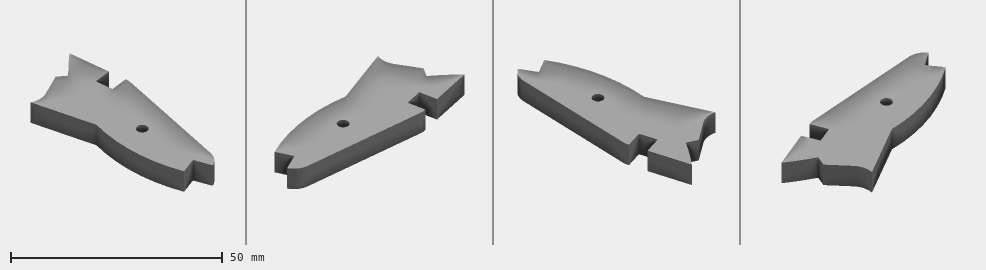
import cadquery as cq
import math

length = 53.95
width = 23.1
thickness = 6.0

upper_edge_tilt = -1.8
slot_distance = 11.85
slot_size = 5.0
slot_shoulder = 0.3

notch_corner = (48.9, 5.9)
notch_tilt = 11.5
notch_lower_side = 5.0

tail_tip = (0, width)
tail_edge_middle = (2.45, 19.45)
tail_inner_corner = (5.25, 15.8)
tail_outer_corner = (2.95, 13.55)
heel_arc_start = (5.05, 6.8)
heel_arc_middle = (5.35, 4.75)
heel_tip = (4.3, 1.8)

back_start = (18.25, 22.4)
back_end = (50.6, 10.6)
nose_arc_middle = (52.7, 9.2)
nose_tip = (length, 6.9)
belly_start = (22.2, 3.7)
belly_lowest = (40.8, 0)

hole_center = (31.8, 8.9)
hole_diameter = 3.0


def step(start, distance, angle):
    """Return the point at a distance from start along an angle in degrees."""
    direction = math.radians(angle)
    return (
        start[0] + distance * math.cos(direction),
        start[1] + distance * math.sin(direction),
    )


slot_top_tail = step(tail_tip, slot_distance, upper_edge_tilt)
slot_bottom_tail = step(slot_top_tail, slot_size, upper_edge_tilt - 90)
slot_bottom_nose = step(slot_bottom_tail, slot_size, upper_edge_tilt)
slot_top_nose = step(slot_top_tail, slot_size, upper_edge_tilt)
shoulder_start = step(slot_top_nose, slot_shoulder, upper_edge_tilt)

notch_lower_corner = step(notch_corner, notch_lower_side, notch_tilt - 90)

outline = (
    cq.Workplane("XY")
    .moveTo(*tail_tip)
    .lineTo(*slot_top_tail)
    .lineTo(*slot_bottom_tail)
    .lineTo(*slot_bottom_nose)
    .lineTo(*slot_top_nose)
    .lineTo(*shoulder_start)
    .tangentArcPoint(back_start, relative=False)
    .lineTo(*back_end)
    .threePointArc(nose_arc_middle, nose_tip)
    .lineTo(*notch_corner)
    .lineTo(*notch_lower_corner)
    .threePointArc(belly_lowest, belly_start)
    .lineTo(*heel_tip)
    .threePointArc(heel_arc_middle, heel_arc_start)
    .lineTo(*tail_outer_corner)
    .lineTo(*tail_inner_corner)
    .threePointArc(tail_edge_middle, tail_tip)
    .close()
)
plate = outline.extrude(thickness)

hole = cq.Workplane("XY").center(*hole_center).circle(hole_diameter / 2).extrude(thickness)

result = plate.cut(hole)